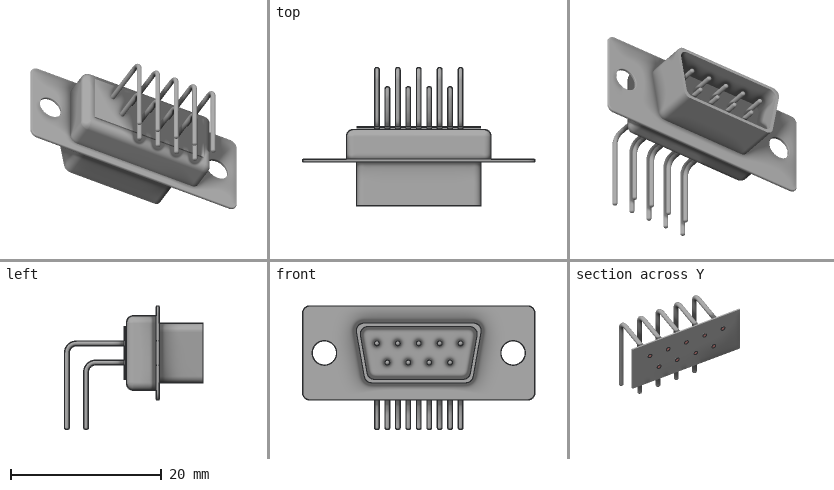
import cadquery as cq
import math


FLANGE_WIDTH = 30.8
FLANGE_HEIGHT = 12.5
FLANGE_THICKNESS = 0.4
FLANGE_CORNER_RADIUS = 1.0
FLANGE_EDGE_RADIUS = 0.15
MOUNTING_HOLE_DIAMETER = 3.2
MOUNTING_HOLE_SPACING = 25.0
HOLE_EDGE_RADIUS = 0.1

SHELL_WIDTH = 16.55
SHELL_HEIGHT = 7.9
SHELL_LENGTH = 5.8
SHELL_WALL = 0.45
SHELL_SIDE_ANGLE = 10.0
SHELL_CORNER_RADIUS = 1.0
SHELL_CAVITY_DEPTH = 3.9

HOUSING_WIDTH = 19.2
HOUSING_HEIGHT = 9.9
HOUSING_LENGTH = 3.95
HOUSING_CORNER_RADIUS = 1.0
HOUSING_BACK_RADIUS = 0.95

RETAINER_WIDTH = 16.3
RETAINER_HEIGHT = 7.0
RETAINER_THICKNESS = 0.2
RETAINER_GAP = 0.15

PIN_DIAMETER = 0.64
PIN_PITCH = 2.77
PIN_ROW_SPACING = 2.54
UPPER_ROW_COUNT = 5
LOWER_ROW_COUNT = 4
PIN_TIP_Y = -5.5
PIN_BEND_RADIUS = 1.27
PIN_TIP_RADIUS = 0.25
OVERALL_LENGTH = 18.36
OVERALL_HEIGHT = 16.4

PIN_RADIUS = PIN_DIAMETER / 2
PIN_FOOT_Z = FLANGE_HEIGHT / 2 - OVERALL_HEIGHT
UPPER_LEG_Y = OVERALL_LENGTH - SHELL_LENGTH - PIN_RADIUS
LOWER_LEG_Y = UPPER_LEG_Y - PIN_ROW_SPACING
HOUSING_BACK_Y = FLANGE_THICKNESS + HOUSING_LENGTH


def plate(width, height, front_y, length):
    """Rectangular block centred on X and Z, running from front_y towards +Y."""
    return cq.Workplane("XY").box(width, length, height).translate((0, front_y + length / 2, 0))


def make_flange():
    flange = plate(FLANGE_WIDTH, FLANGE_HEIGHT, 0, FLANGE_THICKNESS)
    flange = flange.edges("|Y").fillet(FLANGE_CORNER_RADIUS)
    flange = flange.faces("<Y or >Y").edges().fillet(FLANGE_EDGE_RADIUS)
    return flange


def mounting_hole(x):
    """Cutter for one hole with rounded rims at both faces of the flange."""
    radius = MOUNTING_HOLE_DIAMETER / 2
    rim = HOLE_EDGE_RADIUS
    diagonal = rim * (1 - math.sqrt(0.5))
    back = FLANGE_THICKNESS
    return (
        cq.Workplane("XY")
        .moveTo(0, 0)
        .lineTo(radius + rim, 0)
        .threePointArc((radius + diagonal, diagonal), (radius, rim))
        .lineTo(radius, back - rim)
        .threePointArc((radius + diagonal, back - diagonal), (radius + rim, back))
        .lineTo(0, back)
        .close()
        .revolve(360, (0, 0, 0), (0, 1, 0))
        .translate((x, 0, 0))
    )


def d_prism(inset, front_y, length):
    """Rounded D-section prism whose walls lie the given inset inside the shell."""
    slope = math.radians(SHELL_SIDE_ANGLE)
    half_height = SHELL_HEIGHT / 2 - inset
    corner_tangent = SHELL_CORNER_RADIUS * math.tan(math.radians(90 + SHELL_SIDE_ANGLE) / 2)
    outer_corner = SHELL_WIDTH / 2 - SHELL_CORNER_RADIUS + corner_tangent
    top_half = outer_corner - inset / math.cos(slope) - inset * math.tan(slope)
    bottom_half = top_half - 2 * half_height * math.tan(slope)
    outline = [
        (-top_half, half_height),
        (top_half, half_height),
        (bottom_half, -half_height),
        (-bottom_half, -half_height),
    ]
    return (
        cq.Workplane("XZ", origin=(0, front_y, 0))
        .polyline(outline)
        .close()
        .extrude(-length)
        .edges("|Y")
        .fillet(SHELL_CORNER_RADIUS)
    )


def make_shell():
    outside = d_prism(0, -SHELL_LENGTH, SHELL_LENGTH)
    cavity = d_prism(SHELL_WALL, -SHELL_LENGTH, SHELL_CAVITY_DEPTH)
    return outside.cut(cavity)


def make_housing():
    housing = plate(HOUSING_WIDTH, HOUSING_HEIGHT, FLANGE_THICKNESS, HOUSING_LENGTH)
    housing = housing.edges("|Y").fillet(HOUSING_CORNER_RADIUS)
    return housing.faces(">Y").edges().fillet(HOUSING_BACK_RADIUS)


def make_pin(x, z, leg_y):
    """Round pin running along +Y, then bent down to the common foot level."""
    bend_y = leg_y - PIN_BEND_RADIUS
    bend_z = z - PIN_BEND_RADIUS
    blade = cq.Workplane("XZ", origin=(x, PIN_TIP_Y, z)).circle(PIN_RADIUS).extrude(PIN_TIP_Y - bend_y)
    blade = blade.faces("<Y").edges().fillet(PIN_TIP_RADIUS)
    bend = (
        cq.Workplane("XZ", origin=(x, bend_y, z))
        .circle(PIN_RADIUS)
        .revolve(90, (0, -PIN_BEND_RADIUS, 0), (-1, -PIN_BEND_RADIUS, 0))
    )
    leg = cq.Workplane("XY", origin=(x, leg_y, PIN_FOOT_Z)).circle(PIN_RADIUS).extrude(bend_z - PIN_FOOT_Z)
    leg = leg.faces("<Z").edges().fillet(PIN_TIP_RADIUS)
    return blade.union(bend).union(leg)


def pin_row(count, z, leg_y):
    first_x = -(count - 1) / 2 * PIN_PITCH
    return [make_pin(first_x + i * PIN_PITCH, z, leg_y) for i in range(count)]


def make_retainer():
    front_y = HOUSING_BACK_Y + RETAINER_GAP
    return plate(RETAINER_WIDTH, RETAINER_HEIGHT, front_y, RETAINER_THICKNESS)


result = make_flange()
for side in (-1, 1):
    result = result.cut(mounting_hole(side * MOUNTING_HOLE_SPACING / 2))
result = result.union(make_housing()).union(make_shell()).union(make_retainer())
pins = pin_row(UPPER_ROW_COUNT, PIN_ROW_SPACING / 2, UPPER_LEG_Y)
pins += pin_row(LOWER_ROW_COUNT, -PIN_ROW_SPACING / 2, LOWER_LEG_Y)
for pin in pins:
    result = result.union(pin)